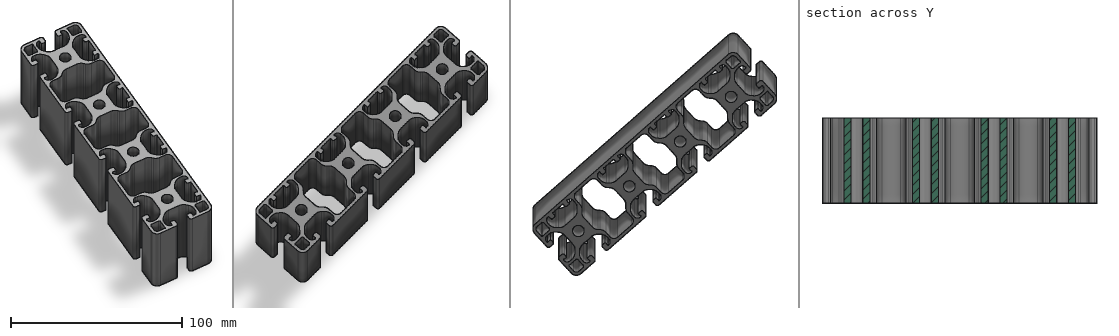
import cadquery as cq

module = 40.0
module_count = 4
length = 50.0
half_module = module / 2
width = module * module_count
corner_radius = 4.0

wall = 2.0
core_half = 7.7
hole_diameter = 6.7
skin_inside = half_module - wall

mouth_half = 4.0
lip_width = 3.0
lip_depth = 4.5
lip_inner_radius = 1.0
lip_outer_radius = 1.5
pocket_half = 10.0
pocket_floor_half = 5.8
pocket_bend_radius = 5.6
pocket_skin_radius = 2.5

hollow_end_half = 8.6
hollow_middle_half = half_module - core_half
hollow_diagonal_sum = 18.0
hollow_end_radius = 3.2
hollow_bend_radius = 4.8

corner_hollow_side = 6.4
corner_hollow_outer_radius = corner_radius - wall
corner_hollow_side_radius = 1.0


def prism(points):
    """Extrude a closed outline over the full profile length."""
    return cq.Workplane("XY").polyline(points).close().extrude(length)


def block(x_min, x_max, y_min, y_max):
    """Rectangular bar over the full profile length."""
    return prism([(x_min, y_min), (x_max, y_min), (x_max, y_max), (x_min, y_max)])


def round_corners(solid, points, radius):
    """Fillet the Z edges standing at the given XY points."""
    for x, y in points:
        edge = cq.selectors.NearestToPointSelector((x, y, length / 2))
        solid = solid.edges("|Z").edges(edge).fillet(radius)
    return solid


def both_sides(x, y):
    """A point and its mirror image across the Y axis."""
    return [(x, y), (-x, y)]


def slot_pocket():
    """Undercut pocket of a slot that faces +Y, with the module centre at the origin."""
    shoulder = core_half + pocket_half - pocket_floor_half
    floor_end = (pocket_floor_half, core_half)
    wall_start = (pocket_half, shoulder)
    wall_end = (pocket_half, skin_inside)
    half = [floor_end, wall_start, wall_end]
    pocket = prism(half + [(-x, y) for x, y in reversed(half)])
    pocket = round_corners(pocket, both_sides(*floor_end), pocket_bend_radius)
    pocket = round_corners(pocket, both_sides(*wall_end), pocket_skin_radius)
    return round_corners(pocket, both_sides(*wall_start), pocket_bend_radius)


def slot_lips(is_open):
    """Pair of lips of a slot that faces +Y; an open slot also has rounded outer edges."""
    underside = half_module - lip_depth
    lip = block(mouth_half, mouth_half + lip_width, underside, half_module)
    lip = round_corners(lip, [(mouth_half, underside)], lip_inner_radius)
    if is_open:
        lip = round_corners(lip, [(mouth_half, half_module)], lip_outer_radius)
    return lip.union(lip.mirror("YZ"))


def add_slot(body, module_x, angle, is_open):
    """Cut one slot into the module at module_x; angle turns it from +Y about Z."""
    def place(solid):
        return solid.rotate((0, 0, 0), (0, 0, 1), angle).translate((module_x, 0, 0))

    body = body.cut(place(slot_pocket()))
    if is_open:
        lip_back = mouth_half + lip_width
        mouth = block(-lip_back, lip_back, half_module - lip_depth, half_module)
        body = body.cut(place(mouth))
    return body.union(place(slot_lips(is_open)))


def module_hollow():
    """Waisted hollow between two modules, centred at the origin."""
    quarter = [
        (hollow_middle_half, hollow_diagonal_sum - hollow_middle_half),
        (hollow_end_half, hollow_diagonal_sum - hollow_end_half),
        (hollow_end_half, skin_inside),
    ]
    upper = quarter + [(-x, y) for x, y in reversed(quarter)]
    hollow = prism(upper + [(-x, -y) for x, y in upper])
    radii = (hollow_bend_radius, hollow_bend_radius, hollow_end_radius)
    for (x, y), radius in zip(quarter, radii):
        hollow = round_corners(hollow, both_sides(x, y) + both_sides(x, -y), radius)
    return hollow


def corner_hollow():
    """Hollow in the +X +Y corner of the profile; its innermost corner is sharp."""
    x_max = width / 2 - wall
    y_max = skin_inside
    x_min = x_max - corner_hollow_side
    y_min = y_max - corner_hollow_side
    hollow = block(x_min, x_max, y_min, y_max)
    hollow = round_corners(hollow, [(x_max, y_max)], corner_hollow_outer_radius)
    return round_corners(hollow, [(x_min, y_max), (x_min, y_min)], corner_hollow_side_radius)


module_centres = [(i + 0.5) * module - width / 2 for i in range(module_count)]

body = cq.Workplane("XY").rect(width, module).extrude(length)
body = body.edges("|Z").fillet(corner_radius)

holes = cq.Workplane("XY").pushPoints([(x, 0) for x in module_centres])
body = body.cut(holes.circle(hole_diameter / 2).extrude(length))

for x in module_centres[:-1]:
    body = body.cut(module_hollow().translate((x + half_module, 0, 0)))

right_pair = corner_hollow().union(corner_hollow().mirror("XZ"))
body = body.cut(right_pair).cut(right_pair.mirror("YZ"))

for x in module_centres:
    body = add_slot(body, x, 0, is_open=False)
    body = add_slot(body, x, 180, is_open=True)
body = add_slot(body, module_centres[0], 90, is_open=True)
body = add_slot(body, module_centres[-1], -90, is_open=True)

result = body